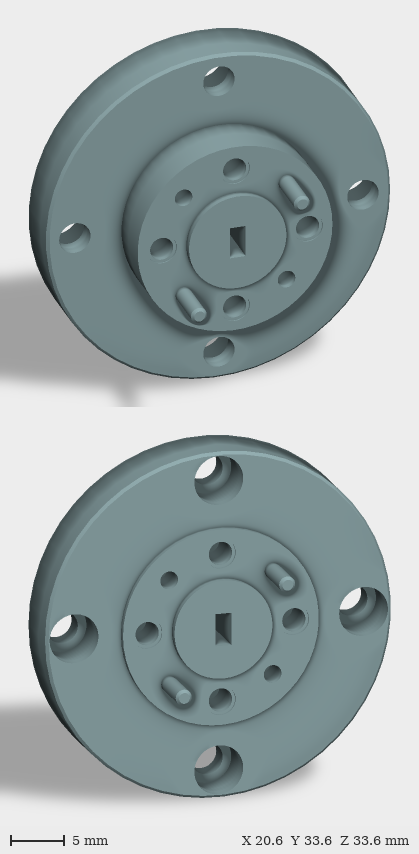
import cadquery as cq
import math


flange_diameter = 33.65
flange_back = -4.88
flange_thickness = 5.65
flange_chamfer = 0.27

barrel_diameter = 19.05
barrel_length = 11.07
boss_diameter = 9.53
boss_span = 12.65

waveguide_width = 1.55
waveguide_height = 3.13

mounting_circle_diameter = 28.17
mounting_hole_diameter = 3.05
counterbore_diameter = 4.75
counterbore_depth = 3.7

screw_circle_diameter = 14.27
screw_hole_diameter = 2.25
screw_hole_depth = 4.05
screw_recess_diameter = 2.85
screw_recess_depth = 0.15

dowel_circle_diameter = 14.25
overall_length = 20.55
pin_diameter = 1.55
pin_tip_chamfer = 0.252
pin_seat_depth = 3.35
dowel_hole_diameter = 1.7
dowel_hole_depth = 3.35

barrel_end = barrel_length / 2
pin_length = (overall_length - barrel_length) / 2 + pin_seat_depth
quarter_angles = [0, 90, 180, 270]
pin_angles = [135, 315]
dowel_hole_angles = [45, 225]


def cylinder(diameter, start, length, centre=(0, 0)):
    """Cylinder along +X from x = start, centred at the given (Y, Z)."""
    plane = cq.Workplane("YZ", origin=(start, *centre))
    return plane.circle(diameter / 2).extrude(length)


def circle_points(diameter, angles):
    """(Y, Z) points on a circle about the X axis, at angles from +Y toward +Z."""
    radius = diameter / 2
    return [
        (radius * math.cos(math.radians(a)), radius * math.sin(math.radians(a)))
        for a in angles
    ]


def body():
    flange = cylinder(flange_diameter, flange_back, flange_thickness)
    flange = flange.faces("<X or >X").chamfer(flange_chamfer)
    barrel = cylinder(barrel_diameter, -barrel_end, barrel_length)
    bosses = cylinder(boss_diameter, -boss_span / 2, boss_span)
    return flange.union(barrel).union(bosses)


def waveguide():
    return cq.Workplane("XY").box(overall_length, waveguide_width, waveguide_height)


def mounting_hole(centre):
    hole = cylinder(mounting_hole_diameter, flange_back, flange_thickness, centre)
    return hole.union(cylinder(counterbore_diameter, flange_back, counterbore_depth, centre))


def end_holes():
    """Screw and dowel holes in the -X end of the barrel."""
    holes = cq.Workplane("YZ")
    for centre in circle_points(screw_circle_diameter, quarter_angles):
        holes = holes.add(cylinder(screw_hole_diameter, -barrel_end, screw_hole_depth, centre))
        holes = holes.add(cylinder(screw_recess_diameter, -barrel_end, screw_recess_depth, centre))
    for centre in circle_points(dowel_circle_diameter, dowel_hole_angles):
        holes = holes.add(cylinder(dowel_hole_diameter, -barrel_end, dowel_hole_depth, centre))
    return holes.combine()


def end_pins():
    """Pair of dowel pins standing out of the -X end of the barrel."""
    pins = cq.Workplane("YZ")
    for centre in circle_points(dowel_circle_diameter, pin_angles):
        pin = cylinder(pin_diameter, -overall_length / 2, pin_length, centre)
        pins = pins.add(pin.faces("<X").chamfer(pin_tip_chamfer))
    return pins.combine()


def other_end(shape):
    """Half-turn about Z, which carries the -X end details to the +X end."""
    return shape.rotate((0, 0, 0), (0, 0, 1), 180)


result = body().cut(waveguide())
for mounting_centre in circle_points(mounting_circle_diameter, quarter_angles):
    result = result.cut(mounting_hole(mounting_centre))
result = result.cut(end_holes()).cut(other_end(end_holes()))
result = result.union(end_pins()).union(other_end(end_pins()))